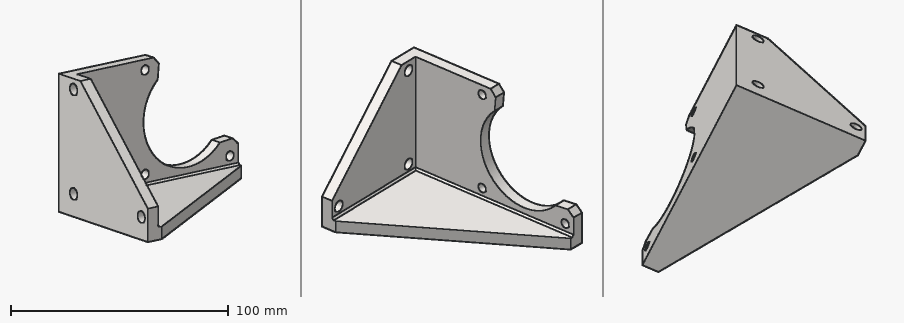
import cadquery as cq
import math

width = 65.7
depth = 100.9
height = 66.0

wall = 6.1
floor_thickness = 6.1
inner_chamfer = 1.0
floor_corner = 8.2
front_corner = 16.0

hole_pitch = 49.8
edge_distance = 5.0
side_hole_diameter = 4.5
front_hole_diameter = 5.5
front_hole_x = 11.0
front_hole_z = 11.0
hole_length = wall + inner_chamfer

opening_radius = 25.8
opening_y = depth - edge_distance - hole_pitch / 2
opening_z = height - edge_distance - hole_pitch / 2

lip_outer = (-19.9, height - opening_z)
lip_tip = (-16.8, 26.5)
lip_inner_y = -17.5
lip_inner = (lip_inner_y, math.sqrt(opening_radius**2 - lip_inner_y**2))


def from_opening(point):
    """Place a point given relative to the opening centre in the YZ plane."""
    return (opening_y + point[0], opening_z + point[1])


def swapped(point):
    """Reflect a point across the diagonal that runs between the two lips."""
    return (point[1], point[0])


def hole_square(first, second):
    """Return three corners of a hole square, starting from its lower inner corner."""
    return [(first, second), (first + hole_pitch, second), (first, second + hole_pitch)]


def make_side_plate():
    arc_middle = (-opening_radius * math.sqrt(0.5), -opening_radius * math.sqrt(0.5))
    return (
        cq.Workplane("YZ")
        .moveTo(0, 0)
        .lineTo(depth, 0)
        .lineTo(*from_opening(swapped(lip_outer)))
        .lineTo(*from_opening(swapped(lip_tip)))
        .lineTo(*from_opening(swapped(lip_inner)))
        .threePointArc(from_opening(arc_middle), from_opening(lip_inner))
        .lineTo(*from_opening(lip_tip))
        .lineTo(*from_opening(lip_outer))
        .lineTo(0, height)
        .close()
        .extrude(wall)
    )


def make_front_plate():
    outline = [(0, 0), (width, 0), (width, front_corner), (front_corner, height), (0, height)]
    return cq.Workplane("XZ").polyline(outline).close().extrude(-wall)


def make_floor():
    outline = [(0, 0), (width, 0), (width, floor_corner), (floor_corner, depth), (0, depth)]
    return cq.Workplane("XY").polyline(outline).close().extrude(floor_thickness)


def make_corner_strip(plane, length):
    """Chamfered strip that fills the inner corner between the floor and a plate."""
    top = floor_thickness + inner_chamfer
    reach = wall + inner_chamfer
    profile = [(0, 0), (reach, 0), (reach, floor_thickness), (wall, top), (0, top)]
    return cq.Workplane(plane).polyline(profile).close().extrude(length)


def make_holes(plane, points, diameter, length):
    return cq.Workplane(plane).pushPoints(points).circle(diameter / 2).extrude(length)


side_holes = make_holes(
    "YZ",
    hole_square(depth - edge_distance - hole_pitch, height - edge_distance - hole_pitch),
    side_hole_diameter,
    hole_length,
)
front_holes = make_holes(
    "XZ",
    hole_square(front_hole_x, front_hole_z),
    front_hole_diameter,
    -hole_length,
)

result = (
    make_side_plate()
    .union(make_front_plate())
    .union(make_floor())
    .union(make_corner_strip("XZ", -depth))
    .union(make_corner_strip("YZ", width))
    .cut(side_holes)
    .cut(front_holes)
)